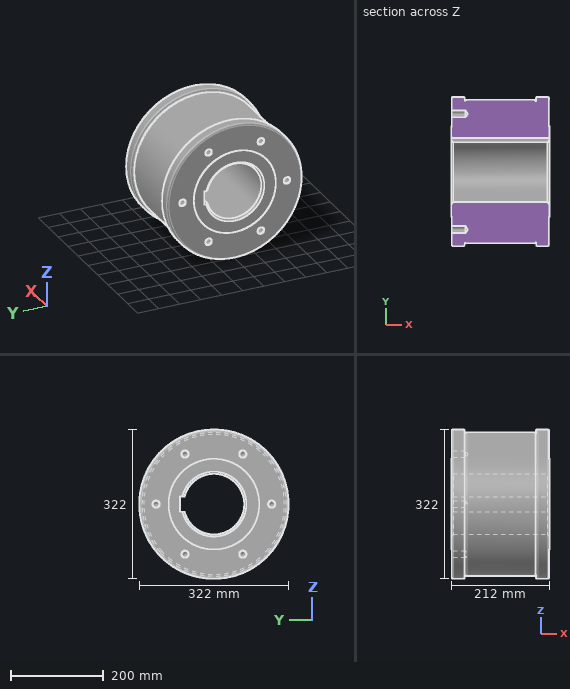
import cadquery as cq

overall_length = 212.0
flange_radius = 161.0
flange_width = 28.5
drum_radius = 155.0
edge_rounding = 4.0

hub_radius = 97.5
hub_height = 1.0

bore_radius = 65.0
bore_chamfer = 4.8
keyway_width = 32.0
keyway_reach = 72.5

hole_count = 6
hole_circle_radius = 124.3
hole_radius = 8.0
hole_chamfer = 1.0
hole_depth = 30.0
hole_point_height = 4.5

half_length = overall_length / 2
face_x = half_length - hub_height
flange_inner_x = face_x - flange_width


def cylinder(start_x, end_x, radius):
    """Solid cylinder along the X axis."""
    return cq.Workplane("YZ", origin=(start_x, 0, 0)).circle(radius).extrude(end_x - start_x)


def rounded_cylinder(start_x, end_x, radius):
    """Cylinder along the X axis with both rims rounded."""
    return cylinder(start_x, end_x, radius).edges().fillet(edge_rounding)


def make_body():
    """Drum between two flanges, with a low hub face at each end."""
    drum = rounded_cylinder(-flange_inner_x, flange_inner_x, drum_radius)
    left_flange = rounded_cylinder(-face_x, -flange_inner_x, flange_radius)
    right_flange = rounded_cylinder(flange_inner_x, face_x, flange_radius)
    hub = cylinder(-half_length, half_length, hub_radius)
    return hub.union(drum).union(left_flange).union(right_flange)


def make_bore():
    """Through bore that widens into a chamfer at both ends."""
    mouth_radius = bore_radius + bore_chamfer
    profile = [
        (-half_length, 0),
        (-half_length, mouth_radius),
        (-half_length + bore_chamfer, bore_radius),
        (half_length - bore_chamfer, bore_radius),
        (half_length, mouth_radius),
        (half_length, 0),
    ]
    return cq.Workplane("XY").polyline(profile).close().revolve(360, (0, 0, 0), (1, 0, 0))


def make_keyway():
    """Slot along the full bore on the +Y side."""
    return cq.Workplane("XY").box(
        overall_length, keyway_reach, keyway_width, centered=(True, False, True)
    )


def make_hole():
    """Chamfered blind hole with a conical bottom, on the +Y side of the -X face."""
    bottom_x = -face_x + hole_depth
    profile = [
        (-face_x, 0),
        (-face_x, hole_radius),
        (-face_x + hole_chamfer, hole_radius - hole_chamfer),
        (bottom_x, hole_radius - hole_chamfer),
        (bottom_x + hole_point_height, 0),
    ]
    hole = cq.Workplane("XY").polyline(profile).close().revolve(360, (0, 0, 0), (1, 0, 0))
    return hole.translate((0, hole_circle_radius, 0))


result = make_body().cut(make_bore()).cut(make_keyway())
for index in range(hole_count):
    angle = index * 360 / hole_count
    result = result.cut(make_hole().rotate((0, 0, 0), (1, 0, 0), angle))